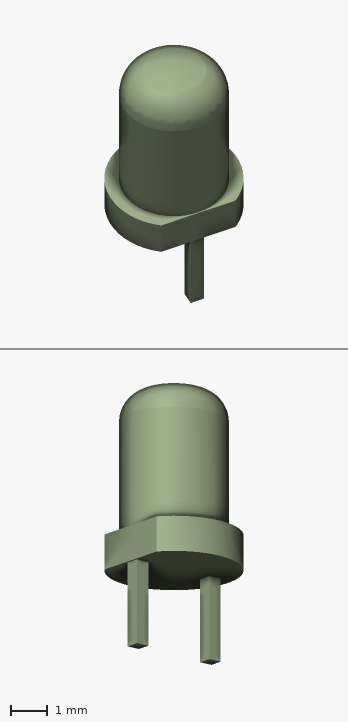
import cadquery as cq

flange_bottom = 2.38
flange_thickness = 1.0
barrel_top = 6.58
crown_edge_height = 7.44
total_height = 7.55

flange_radius = 1.895
flat_x = 1.525
barrel_radius = 3.0 / 2
crown_edge_radius = 0.875

lead_width = 0.4
lead_pitch = 2.545
lead_center_x = -0.01
short_lead_gap = 0.02
flange_top = flange_bottom + flange_thickness

shoulder_inset = barrel_radius - crown_edge_radius
shoulder_rise = crown_edge_height - barrel_top
shoulder_radius = (shoulder_inset**2 + shoulder_rise**2) / (2 * shoulder_inset)

crown_rise = total_height - crown_edge_height
crown_radius = (crown_edge_radius**2 + crown_rise**2) / (2 * crown_rise)


def make_flange():
    """Round flange with one flat on the +X side."""
    disc = cq.Workplane("XY").workplane(offset=flange_bottom).circle(flange_radius).extrude(flange_thickness)
    keep_length = flange_radius + flat_x
    keep = (
        cq.Workplane("XY")
        .box(keep_length, 2 * flange_radius, flange_thickness, centered=(False, True, False))
        .translate((-flange_radius, 0, flange_bottom))
    )
    return disc.intersect(keep)


def make_lens():
    """Revolved barrel with a rounded shoulder and a domed crown."""
    return (
        cq.Workplane("XZ")
        .moveTo(0, flange_bottom)
        .lineTo(barrel_radius, flange_bottom)
        .lineTo(barrel_radius, barrel_top)
        .radiusArc((crown_edge_radius, crown_edge_height), -shoulder_radius)
        .radiusArc((0, total_height), -crown_radius)
        .close()
        .revolve(360, (0, 0), (0, 1))
    )


def make_lead(center_x, tip_height):
    """Square lead from its tip up to the top of the flange."""
    return (
        cq.Workplane("XY")
        .box(lead_width, lead_width, flange_top - tip_height, centered=(True, True, False))
        .translate((center_x, 0, tip_height))
    )


result = make_flange().union(make_lens())
for side, tip_height in ((-1, short_lead_gap), (1, 0)):
    result = result.union(make_lead(lead_center_x + side * lead_pitch / 2, tip_height))